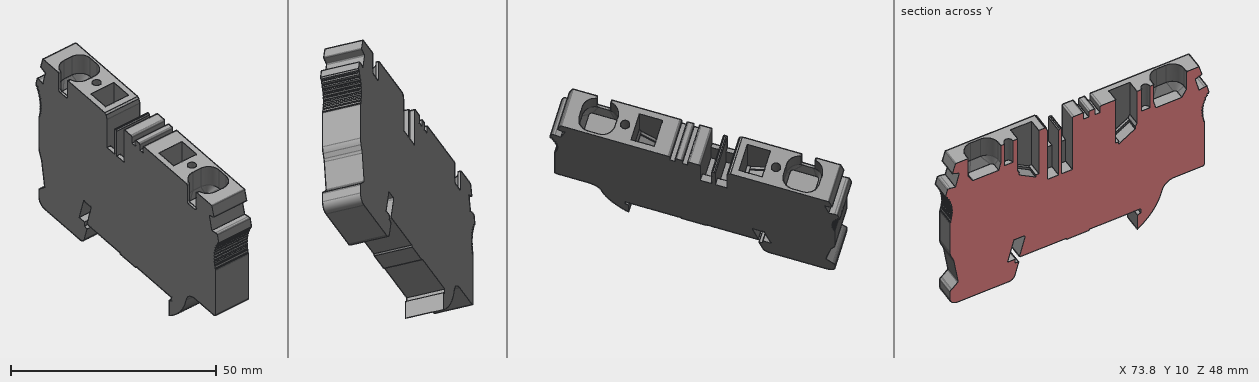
import cadquery as cq
import math

length = 73.75
thickness = 10.0
height = 48.0
half_length = length / 2
full_y = (-thickness / 2, thickness / 2)

side_x = 35.6
skirt_z = 13.2
skirt_radius = 0.7
tip_radius = 0.2

rail_z = 7.0
claw_undercut_z = 5.75
claw_tip_z = 5.4
foot_x = -17.7
foot_heel_radius = 2.2
foot_toe_radius = 1.85
slit_top_z = 13.65
slit_top_radius = 0.3
slit_mouth_radius = 0.4
flank_top = (-side_x, 17.4)
flank_bend = (-34.6, 15.0)
flank_bottom = (-33.3, rail_z)
heel_top = (-side_x, 5.0)
flank_top_radius = 4.4
flank_bend_radius = 3.3
flank_bottom_radius = 0.3
heel_top_radius = 0.75

pad_x = (-3.2, 3.6)
pad_height = 0.4

hook_x = 17.7
hook_tip = (16.8, 0.45)
hook_back = (21.7, 5.45)
hook_root = (23.75, 10.3)
hook_blend = (24.8, 12.25)
skirt_start_x = 27.1

grip_top_z = 37.9
grip_bottom_z = 28.2
grip_waist = (35.1, 31.9)
grip_radius = 10.85
groove_count = 10
groove_pitch = 0.95
groove_top_z = 37.25
groove_width = 0.6
groove_depth = 0.26

slot_left_x = -8.2
slot_right_x = -1.4
slot_floor_z = 37.4
blade_left_x = -5.2
blade_right_x = -4.3
blade_top_z = 45.65
blade_chamfer = 0.3
slot_relief_width = 0.9
slot_relief_depth = 1.55
slot_relief_bend = 0.4
well_y = (-3.9, 3.25)
well_depth = 7.4

marker_floor_z = 45.8
marker_left_x = 1.85
marker_right_x = 6.35
rib_left_x = 3.2
rib_right_x = 5.0
rib_top_z = 47.8
rib_radius = 0.4
top_corner_radius = 0.45

entry_x = 25.95
entry_length = 9.1
entry_width = 8.7
entry_corner = 3.2
entry_shelf_z = 42.0
entry_floor_z = 39.8
entry_floor_x = (22.0, 29.2)
entry_floor_y = (-3.25, 2.8)
entry_floor_corner = 0.75
notch_width = 3.55
notch_corner = 0.6
notch_lip_radius = 0.4
notch_x = (entry_x - notch_width / 2, entry_x + notch_width / 2)

driver_x = (10.8, 16.7)
driver_width = 7.0
driver_ramp_x = (11.65, 16.15)
driver_ramp_angle = 33
driver_floor_z = 33.2
driver_bevel_angle = 62
driver_recess_width = 5.5
driver_recess_depth = 0.75

test_x = 19.2
test_y = 0.15
test_diameter = 2.2
test_depth = 7.4


def prism(outline, width):
    """Extrude an XZ outline along Y, centred on Y = 0."""
    return cq.Workplane("XZ", origin=(0, width / 2, 0)).polyline(outline).close().extrude(width)


def block(x_range, y_range, z_range):
    size = [high - low for low, high in (x_range, y_range, z_range)]
    low_corner = (x_range[0], y_range[0], z_range[0])
    return cq.Workplane("XY").box(*size, centered=False).translate(low_corner)


def round_edge(body, point, radius):
    """Fillet the edge whose middle is nearest to the point."""
    return body.edges(cq.selectors.NearestToPointSelector(point)).fillet(radius)


def make_body():
    upper_end = [
        (34.1, height), (34.95, 44.8), (33.0, 44.1), (34.1, 40.0),
        (35.55, 40.25), (36.3, 40.25), (half_length, grip_top_z),
    ]
    rounded_tips = [upper_end[index] for index in (0, 1, 2, 5)]
    left_upper_end = [(-x, z) for x, z in upper_end]
    right_upper_end = upper_end[::-1]
    foot = [
        flank_top, flank_bend, flank_bottom, (-35.1, 5.3), heel_top, (-side_x, 0), (foot_x, 0),
        (-16.3, claw_tip_z), (-17.25, claw_undercut_z), (-17.25, rail_z),
    ]
    slit = [(-19.4, rail_z), (-17.6, slit_top_z), (-14.5, slit_top_z), (-16.3, rail_z)]
    pad = [
        (pad_x[0], rail_z), (pad_x[0] + pad_height, rail_z - pad_height),
        (pad_x[1] - pad_height, rail_z - pad_height), (pad_x[1], rail_z),
    ]
    hook = [(hook_x, rail_z), (hook_x, claw_undercut_z), (hook_tip[0], claw_tip_z), hook_tip]
    body = (
        cq.Workplane("XZ", origin=(0, thickness / 2, 0))
        .polyline(left_upper_end)
        .threePointArc((-grip_waist[0], grip_waist[1]), (-side_x, grip_bottom_z))
        .polyline(foot + slit + pad + hook, includeCurrent=True)
        .threePointArc(hook_back, hook_root)
        .threePointArc(hook_blend, (skirt_start_x, skirt_z))
        .lineTo(side_x, skirt_z)
        .lineTo(side_x, grip_bottom_z)
        .threePointArc(grip_waist, right_upper_end[0])
        .polyline(right_upper_end[1:], includeCurrent=True)
        .close()
        .extrude(thickness)
    )
    rounded_corners = [
        ((-side_x, 0), foot_heel_radius), ((foot_x, 0), foot_toe_radius),
        (flank_top, flank_top_radius), (flank_bend, flank_bend_radius),
        (flank_bottom, flank_bottom_radius), (heel_top, heel_top_radius),
        (slit[3], slit_mouth_radius), (slit[2], slit_top_radius), ((side_x, skirt_z), skirt_radius),
    ]
    for (x, z), radius in rounded_corners:
        body = round_edge(body, (x, 0, z), radius)
    for side in (-1, 1):
        for x, z in rounded_tips:
            body = round_edge(body, (side * x, 0, z), tip_radius)
    return body


def make_jumper_slot():
    slot_x = (slot_left_x, slot_right_x)
    slot = block(slot_x, full_y, (slot_floor_z, height))
    well = block(slot_x, well_y, (slot_floor_z - well_depth, slot_floor_z))
    blade = block((blade_left_x, blade_right_x), full_y, (slot_floor_z - well_depth, blade_top_z))
    blade = blade.edges("|Y and >Z").chamfer(blade_chamfer)
    relief_bottom = (slot_left_x, height - slot_relief_depth)
    relief_bend = (slot_left_x - slot_relief_bend, height - slot_relief_bend)
    relief_top = (slot_left_x - slot_relief_width, height)
    corner_relief = prism([relief_bottom, relief_bend, relief_top, (slot_left_x, height)], thickness)
    return slot.union(well).union(corner_relief).cut(blade)


def make_marker_grooves():
    grooves = block((marker_left_x, marker_right_x), full_y, (marker_floor_z, height))
    rib = block((rib_left_x, rib_right_x), full_y, (marker_floor_z, rib_top_z))
    return grooves.cut(rib.edges("|Y and >Z").fillet(rib_radius))


def make_grip_grooves():
    """V grooves across the grip at the +X end, each pointing along the grip radius."""
    centre_x = grip_waist[0] + grip_radius
    grooves = cq.Workplane("XY")
    for index in range(groove_count):
        z = groove_top_z - index * groove_pitch
        angle = math.degrees(math.asin((z - grip_waist[1]) / grip_radius))
        groove = (
            prism(
                [
                    (-grip_radius - groove_depth, 0),
                    (-grip_radius + groove_depth, groove_width),
                    (-grip_radius + groove_depth, -groove_width),
                ],
                thickness,
            )
            .rotate((0, 0, 0), (0, 1, 0), angle)
            .translate((centre_x, 0, grip_waist[1]))
        )
        grooves = grooves.add(groove)
    return grooves.combine()


def make_wire_entry():
    """Wire entry at the +X end: straight mouth, funnel below it, notch to the -Y face."""
    mouth = (
        cq.Workplane("XY", origin=(entry_x, 0, entry_shelf_z))
        .rect(entry_length, entry_width)
        .extrude(height - entry_shelf_z)
        .edges("|Z")
        .fillet(entry_corner)
    )
    floor_size = (entry_floor_x[1] - entry_floor_x[0], entry_floor_y[1] - entry_floor_y[0])
    floor_centre = (sum(entry_floor_x) / 2, sum(entry_floor_y) / 2)
    shelf_outline = cq.Sketch().rect(entry_length, entry_width).vertices().fillet(entry_corner)
    floor_outline = cq.Sketch().rect(*floor_size).vertices().fillet(entry_floor_corner)
    funnel = (
        cq.Workplane("XY")
        .placeSketch(
            shelf_outline.moved(cq.Location(cq.Vector(entry_x, 0, entry_shelf_z))),
            floor_outline.moved(cq.Location(cq.Vector(*floor_centre, entry_floor_z))),
        )
        .loft()
    )
    notch = block(notch_x, (-thickness / 2, 0), (entry_shelf_z, height))
    notch = notch.edges("|Y and <Z").fillet(notch_corner)
    return mouth.union(funnel).union(notch)


def make_driver_opening():
    """Screwdriver opening at the +X end: the floor ramps up outwards, with a recess sunk in the ramp."""
    ramp_start, ramp_end = driver_ramp_x
    ramp_top_z = driver_floor_z + (ramp_end - ramp_start) * math.tan(math.radians(driver_ramp_angle))
    bevel_top_z = ramp_top_z + (driver_x[1] - ramp_end) * math.tan(math.radians(driver_bevel_angle))
    shaft = prism(
        [
            (driver_x[0], height), (driver_x[0], driver_floor_z), (ramp_start, driver_floor_z),
            (ramp_end, ramp_top_z), (driver_x[1], bevel_top_z), (driver_x[1], height),
        ],
        driver_width,
    )
    recess = prism(
        [
            (ramp_start, driver_floor_z), (ramp_start, driver_floor_z - driver_recess_depth),
            (ramp_end, ramp_top_z - driver_recess_depth), (ramp_end, ramp_top_z),
        ],
        driver_recess_width,
    )
    return shaft.union(recess)


def make_test_hole():
    return (
        cq.Workplane("XY", origin=(test_x, test_y, height - test_depth))
        .circle(test_diameter / 2)
        .extrude(test_depth)
    )


result = make_body().cut(make_jumper_slot()).cut(make_marker_grooves())
for make_cut in (make_grip_grooves, make_wire_entry, make_driver_opening, make_test_hole):
    cutter = make_cut()
    result = result.cut(cutter).cut(cutter.mirror("YZ"))
for x in (slot_right_x, marker_left_x, marker_right_x):
    result = round_edge(result, (x, 0, height), top_corner_radius)
notch_middle_y = -(thickness + entry_width) / 4
for side in (-1, 1):
    for x in notch_x:
        result = round_edge(result, (side * x, notch_middle_y, height), notch_lip_radius)